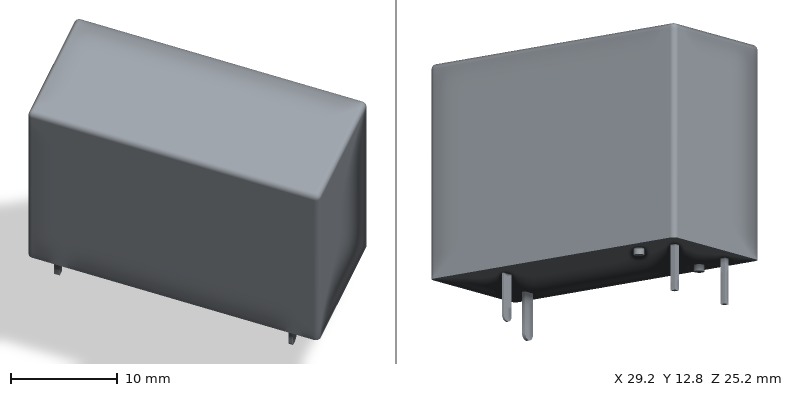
import cadquery as cq

length = 29.2
width = 12.82
overall_height = 25.2
edge_radius = 0.5

blade_drop = 4.58
blade_width = 1.2
inner_blade_thickness = 0.2
outer_blade_thickness = 0.35

coil_pin_drop = 4.38
coil_pin_side = 0.55

peg_drop = 0.6
peg_diameter = 1.0

coil_pin_x = -length / 2 + 2.07
inner_blade_x = coil_pin_x + 20.0
outer_blade_x = inner_blade_x + 3.47
peg_x = coil_pin_x + 3.65
pin_row_spacing = 7.5
peg_spacing = 9.05

body_height = overall_height - blade_drop


def make_housing():
    box = cq.Workplane("XY").box(length, width, body_height, centered=(True, True, False))
    return box.edges("|Z or >Z").fillet(edge_radius)


def make_blade(x, y, thickness):
    """Blade hanging below Z = 0, rounded at the tip across its width."""
    half_width = blade_width / 2
    shoulder_z = half_width - blade_drop
    return (
        cq.Workplane("YZ", origin=(x - thickness / 2, y, 0))
        .moveTo(-half_width, 0)
        .lineTo(-half_width, shoulder_z)
        .threePointArc((0, -blade_drop), (half_width, shoulder_z))
        .lineTo(half_width, 0)
        .close()
        .extrude(thickness)
    )


def make_coil_pin(y):
    base = cq.Workplane("XY", origin=(coil_pin_x, y, 0))
    return base.rect(coil_pin_side, coil_pin_side).extrude(-coil_pin_drop)


def make_peg(y):
    return cq.Workplane("XY", origin=(peg_x, y, 0)).circle(peg_diameter / 2).extrude(-peg_drop)


row_y = pin_row_spacing / 2

result = make_housing()
for side in (-1, 1):
    result = result.union(make_coil_pin(side * row_y))
    result = result.union(make_peg(side * peg_spacing / 2))

result = result.union(make_blade(outer_blade_x, -row_y, outer_blade_thickness))
result = result.union(make_blade(inner_blade_x, row_y, inner_blade_thickness))